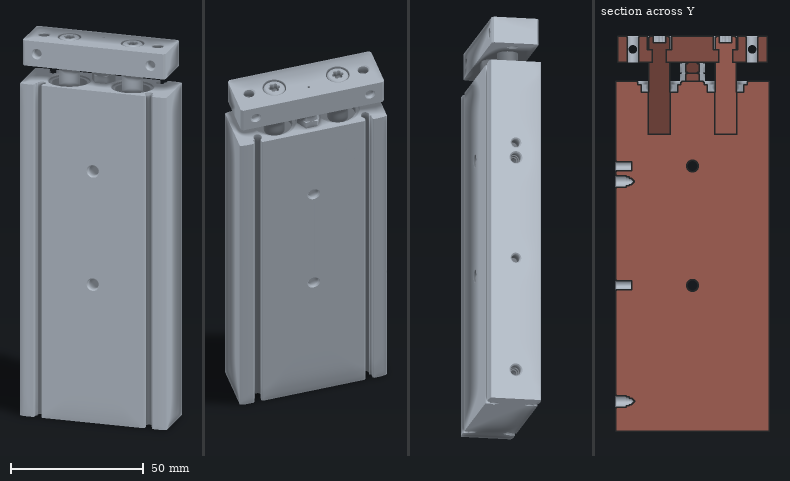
import cadquery as cq
import math

housing_width = 58.0
housing_depth = 20.0
housing_height = 132.0
shoulder_x = 26.0
shoulder_radius = housing_depth / 2
corner_radius = 0.4

plate_width = 56.5
plate_depth = 18.0
plate_thickness = 10.0
plate_gap = 7.0
plate_corner_chamfer = 0.8
plate_bottom = housing_height + plate_gap
plate_top = plate_bottom + plate_thickness
plate_hole_x = 22.5

groove_x = 21.2
groove_y = 6.9
groove_diameter = 3.24
groove_neck_x = 21.9
groove_neck_width = 2.8
groove_neck_depth = 2.2
groove_lip_chamfer = 0.45

rod_x = 12.5
rod_diameter = 8.0
rod_bottom = 112.0
screw_shank_diameter = 5.0
screw_recess_diameter = 9.0
screw_recess_depth = 5.0
screw_head_diameter = 8.0
screw_rim_diameter = 6.88
screw_rim_chamfer = (screw_head_diameter - screw_rim_diameter) / 2
socket_radius = 2.25
socket_waist_radius = 1.6
socket_depth = 2.5
socket_lobes = 6

mouth_diameter = 17.0
mouth_depth = 0.5
ring_diameter = 16.0
ring_depth = 1.2
seal_diameter = 13.6
seal_depth = 4.0

M4_MAJOR, M4_CORE = 4.13, 3.24
M5_MAJOR, M5_CORE = 5.0, 4.13
mount_hole_levels = (55.0, 100.0)
side_hole_depth = 6.0
port_levels = (11.3, 94.2)
port_thread_depth = 4.0
port_seat_diameter = 3.24
port_seat_depth = 1.0
port_inlet_diameter = 2.2
port_inlet_depth = 1.0

bumper_y = 3.5
hex_flats = 8.0
hex_corners = hex_flats / math.cos(math.pi / 6)
nut_height = 4.0
nut_collar_height = 0.35
bolt_head_height = plate_gap - nut_height
bolt_diameter = 5.0
bolt_bore_depth = 6.0
vent_diameter = 1.0


def disc(diameter, bottom, top, x=0.0, y=0.0):
    """Upright cylinder between two heights."""
    return cq.Workplane("XY", origin=(x, y, bottom)).circle(diameter / 2).extrude(top - bottom)


def countersunk_tool(mouth, core, length):
    """Drill along +Z from the origin, with a 45 degree countersink at its start."""
    sink = (mouth - core) / 2
    profile = [(0, 0), (mouth / 2, 0), (core / 2, sink), (core / 2, length), (0, length)]
    return cq.Workplane("XZ").polyline(profile).close().revolve(360, (0, 0, 0), (0, 1, 0))


def cross_hole(mouth, core, depth, x, z):
    """Through hole along Y, countersunk at both ends, across a body of the given depth."""
    half = countersunk_tool(mouth, core, depth / 2).rotate((0, 0, 0), (1, 0, 0), -90)
    front = half.translate((x, -depth / 2, z))
    return front.union(front.mirror("XZ"))


def housing_block():
    """Body with two gently curved shoulders on each broad face."""
    half_x = housing_width / 2
    half_y = housing_depth / 2

    def shoulder_point(offset):
        return shoulder_x + offset, math.sqrt(shoulder_radius**2 - offset**2)

    edge_x, edge_y = shoulder_point(half_x - shoulder_x)
    mid_x, mid_y = shoulder_point((half_x - shoulder_x) / 2)
    outline = (
        cq.Workplane("XY")
        .moveTo(-shoulder_x, -half_y)
        .lineTo(shoulder_x, -half_y)
        .threePointArc((mid_x, -mid_y), (edge_x, -edge_y))
        .lineTo(edge_x, edge_y)
        .threePointArc((mid_x, mid_y), (shoulder_x, half_y))
        .lineTo(-shoulder_x, half_y)
        .threePointArc((-mid_x, mid_y), (-edge_x, edge_y))
        .lineTo(-edge_x, -edge_y)
        .threePointArc((-mid_x, -mid_y), (-shoulder_x, -half_y))
        .close()
    )
    return outline.extrude(housing_height).edges("|Z and (<X or >X)").fillet(corner_radius)


def sensor_groove(side_x, side_y):
    """Round groove entered by an offset neck with chamfered lips, running the full height."""
    neck = groove_neck_width / 2
    face = housing_depth / 2
    lip = groove_lip_chamfer
    floor = face - groove_neck_depth
    profile = [
        (-neck, floor),
        (-neck, face - lip),
        (-neck - lip, face),
        (neck + lip, face),
        (neck, face - lip),
        (neck, floor),
    ]
    points = [(side_x * (groove_neck_x + x), side_y * y) for x, y in profile]
    slot = cq.Workplane("XY").polyline(points).close().extrude(housing_height)
    return slot.union(disc(groove_diameter, 0, housing_height, side_x * groove_x, side_y * groove_y))


def rod_bore(x):
    """Rod bore with a flared mouth and an inner step around the rod."""
    steps_top = housing_height - mouth_depth
    flare = (
        cq.Workplane("XY", origin=(x, 0, housing_height))
        .circle(mouth_diameter / 2)
        .workplane(offset=-mouth_depth)
        .circle(ring_diameter / 2)
        .loft()
    )
    ring = disc(ring_diameter, housing_height - ring_depth, steps_top, x)
    seal = disc(seal_diameter, housing_height - seal_depth, housing_height - ring_depth, x)
    bore = disc(rod_diameter, rod_bottom, housing_height - seal_depth, x)
    return flare.union(ring).union(seal).union(bore)


def side_hole(tool, z):
    """Place a drill tool so that it enters the -X face at the given height."""
    return tool.rotate((0, 0, 0), (0, 1, 0), 90).translate((-housing_width / 2, 0, z))


def port_tool():
    """Threaded port stepping down through a seat to an inlet with a drill point."""
    seat_radius = port_seat_diameter / 2
    inlet_radius = port_inlet_diameter / 2
    seat_end = port_thread_depth + port_seat_depth
    inlet_end = seat_end + port_inlet_depth
    profile = [
        (0, 0),
        (seat_radius, 0),
        (seat_radius, seat_end),
        (inlet_radius, seat_end),
        (inlet_radius, inlet_end),
        (0, inlet_end + inlet_radius),
    ]
    inlet = cq.Workplane("XZ").polyline(profile).close().revolve(360, (0, 0, 0), (0, 1, 0))
    return countersunk_tool(M5_MAJOR, M5_CORE, port_thread_depth).union(inlet)


def make_housing():
    """Housing with rod bores, sensor grooves, mounting holes and air ports."""
    body = housing_block()
    for side_x in (-1, 1):
        body = body.cut(rod_bore(side_x * rod_x))
        for side_y in (-1, 1):
            body = body.cut(sensor_groove(side_x, side_y))
    for z in mount_hole_levels:
        body = body.cut(cross_hole(M5_MAJOR, M5_CORE, housing_depth, 0, z))
        body = body.cut(side_hole(countersunk_tool(M4_MAJOR, M4_CORE, side_hole_depth), z))
    for z in port_levels:
        body = body.cut(side_hole(port_tool(), z))
    return body


def make_plate():
    """End plate with its own mounting holes, screw recesses and bumper bolt bore."""
    body = (
        cq.Workplane("XY", origin=(0, 0, plate_bottom))
        .rect(plate_width, plate_depth)
        .extrude(plate_thickness)
        .edges("|Z")
        .chamfer(plate_corner_chamfer)
    )
    down_hole = countersunk_tool(M5_MAJOR, M5_CORE, plate_thickness).rotate((0, 0, 0), (1, 0, 0), 180)
    plate_middle = plate_bottom + plate_thickness / 2
    for side in (-1, 1):
        x = side * plate_hole_x
        body = body.cut(down_hole.translate((x, 0, plate_top)))
        body = body.cut(cross_hole(M4_MAJOR, M4_CORE, plate_depth, x, plate_middle))
        body = body.cut(disc(screw_shank_diameter, plate_bottom, plate_top, side * rod_x))
        recess_bottom = plate_top - screw_recess_depth
        body = body.cut(disc(screw_recess_diameter, recess_bottom, plate_top, side * rod_x))
    body = body.cut(disc(bolt_diameter, plate_bottom, plate_bottom + bolt_bore_depth, 0, bumper_y))
    return body.cut(disc(vent_diameter, plate_bottom, plate_top, 0, bumper_y))


def star_socket(x):
    """Six-lobed drive socket sunk into the top of a screw head."""

    def polar(radius, step):
        angle = math.pi * step / socket_lobes
        return radius * math.cos(angle), radius * math.sin(angle)

    outline = cq.Workplane("XY", origin=(x, 0, plate_top)).moveTo(*polar(socket_waist_radius, -1))
    for lobe in range(socket_lobes):
        tip = 2 * lobe
        outline = outline.threePointArc(polar(socket_radius, tip), polar(socket_waist_radius, tip + 1))
    return outline.close().extrude(-socket_depth)


def make_rod(x):
    """Guide rod with the screw end that clamps the plate."""
    head_bottom = plate_top - screw_recess_depth
    head = disc(screw_head_diameter, head_bottom, plate_top, x)
    head = head.faces(">Z").chamfer(screw_rim_chamfer)
    rod = disc(rod_diameter, rod_bottom, plate_bottom, x)
    shank = disc(screw_shank_diameter, plate_bottom, head_bottom, x)
    return rod.union(shank).union(head).cut(star_socket(x))


def hexagon(bottom, height):
    """Upright hexagon with two corners on the X direction."""
    return cq.Workplane("XY", origin=(0, bumper_y, bottom)).polygon(6, hex_corners).extrude(height)


def make_bumper_bolt():
    """Hex head with its top corners turned down at 30 degrees, and a shank up into the plate."""
    radial = (hex_corners - hex_flats) / 2
    axial = radial * math.tan(math.pi / 6)
    head_top = housing_height + bolt_head_height
    turned = disc(hex_corners, housing_height, head_top, 0, bumper_y).faces(">Z").chamfer(axial, radial)
    head = hexagon(housing_height, bolt_head_height).intersect(turned)
    return head.union(disc(bolt_diameter, head_top, plate_bottom + bolt_bore_depth, 0, bumper_y))


def make_bumper_nut():
    """Hex lock nut with a round collar at each end."""
    bottom = plate_bottom - nut_height
    collars = disc(hex_flats, bottom, plate_bottom, 0, bumper_y)
    nut = hexagon(bottom + nut_collar_height, nut_height - 2 * nut_collar_height).union(collars)
    return nut.cut(disc(bolt_diameter, bottom, plate_bottom, 0, bumper_y))


housing = make_housing()
plate = make_plate()
rods = [make_rod(side * rod_x) for side in (-1, 1)]
bumper_bolt = make_bumper_bolt()
bumper_nut = make_bumper_nut()

result = cq.Compound.makeCompound(
    [housing.val(), plate.val(), *[rod.val() for rod in rods], bumper_bolt.val(), bumper_nut.val()]
)